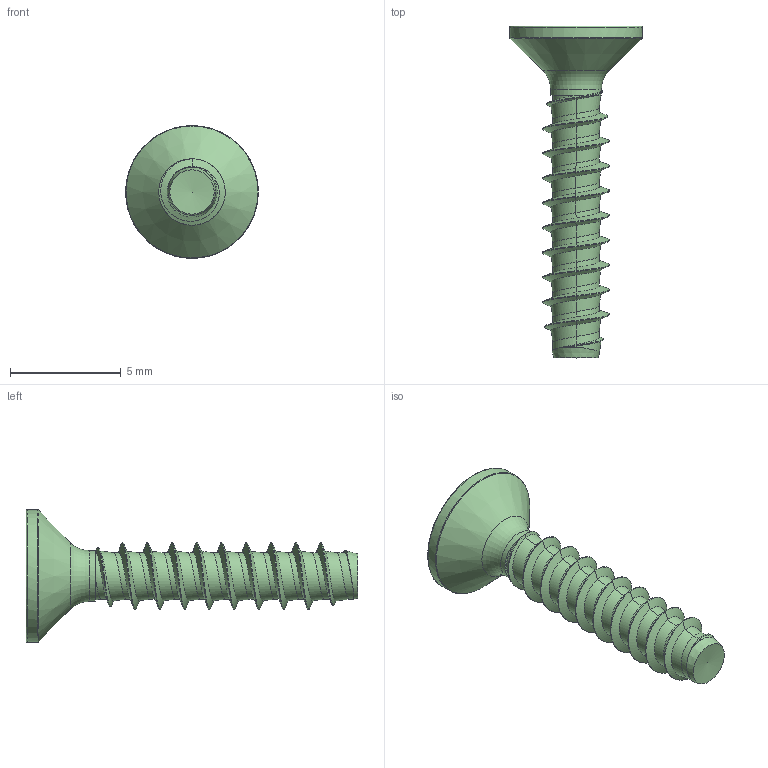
import math
import cadquery as cq


LENGTH = 15.0
HEAD_RADIUS = 3.0
RIM_DEPTH = 0.55
RIM_FILLET = 0.05
SHANK_RADIUS = 1.15
SHANK_TOP_DEPTH = 2.85
SHANK_END_DEPTH = 3.125
NECK_RADIUS = 1.2
HEAD_ANGLE = math.radians(45)
CORE_RADIUS = 1.05
TIP_RADIUS = 1.0
TIP_TAPER_SLOPE = 0.27
TIP_TAPER_LENGTH = 0.45
TIP_DISH_DEPTH = 0.08

PITCH = 1.12
THREAD_RADIUS = 1.5
CREST_WIDTH = 0.03
THREAD_START_DEPTH = 2.96
HEAD_FLANK_SLOPE = 0.33
TIP_FLANK_SLOPE = 0.42
RAMP_TOP_RADIUS = 1.14
RAMP_LENGTH = 0.7
LOWEST_CREST = 0.005

FIRST_TURN = -1.75
FULL_HEIGHT_FIRST_TURN = 1.25
FULL_HEIGHT_LAST_TURN = 9.25
RAMP_LAST_TURN = 10.25
LAST_TURN = 11.25
RISE_PER_TURN = 0.23

POINTS_PER_TURN = 16


def make_head():
    """Countersunk head, neck and plain shank as one revolved profile."""
    neck_center_radius = SHANK_RADIUS + NECK_RADIUS
    cone_end_radius = neck_center_radius - NECK_RADIUS * math.cos(HEAD_ANGLE)
    cone_end_depth = SHANK_TOP_DEPTH - NECK_RADIUS * math.sin(HEAD_ANGLE)
    arc_middle_radius = neck_center_radius - NECK_RADIUS * math.cos(HEAD_ANGLE / 2)
    arc_middle_depth = SHANK_TOP_DEPTH - NECK_RADIUS * math.sin(HEAD_ANGLE / 2)
    profile = (
        cq.Workplane("XY")
        .lineTo(HEAD_RADIUS, 0)
        .lineTo(HEAD_RADIUS, -RIM_DEPTH)
        .lineTo(cone_end_radius, -cone_end_depth)
        .threePointArc((arc_middle_radius, -arc_middle_depth), (SHANK_RADIUS, -SHANK_TOP_DEPTH))
        .lineTo(SHANK_RADIUS, -SHANK_END_DEPTH)
        .lineTo(0, -SHANK_END_DEPTH)
        .close()
    )
    head = profile.revolve(360, (0, 0, 0), (0, 1, 0))
    rim_edges = head.edges("%CIRCLE").edges(">>Y or >>Y[-2]")
    return rim_edges.fillet(RIM_FILLET)


def helix_point(turn, axial_offset, radius):
    """Point of a right-handed helix around the Y axis."""
    angle = 2 * math.pi * turn
    depth = THREAD_START_DEPTH + PITCH * turn + axial_offset
    return cq.Vector(radius * math.cos(angle), -depth, radius * math.sin(angle))


def thread_section(turn):
    """Corners of one pitch of the outline, as (axial offset, radius), from head to tip."""
    ramp_fade = max(0, turn - RAMP_LAST_TURN) / (LAST_TURN - RAMP_LAST_TURN)
    ramp_top = RAMP_TOP_RADIUS + ramp_fade * (CORE_RADIUS - RAMP_TOP_RADIUS)
    ramp_slope = (ramp_top - CORE_RADIUS) / RAMP_LENGTH
    faded_crest = RAMP_TOP_RADIUS + LOWEST_CREST
    fall_per_turn = (THREAD_RADIUS - faded_crest) / (RAMP_LAST_TURN - FULL_HEIGHT_LAST_TURN)
    rise = RISE_PER_TURN * max(0, FULL_HEIGHT_FIRST_TURN - turn)
    fall = fall_per_turn * max(0, turn - FULL_HEIGHT_LAST_TURN)
    crest = max(THREAD_RADIUS - rise - fall, ramp_top + LOWEST_CREST)
    half_crest = CREST_WIDTH / 2
    head_flank_run = HEAD_FLANK_SLOPE * (crest - CORE_RADIUS)
    tip_flank_run = TIP_FLANK_SLOPE * (crest - ramp_top) / (1 - TIP_FLANK_SLOPE * ramp_slope)
    return [
        (-half_crest - head_flank_run, CORE_RADIUS),
        (-half_crest, crest),
        (half_crest, crest),
        (half_crest + tip_flank_run, ramp_top - ramp_slope * tip_flank_run),
        (half_crest + RAMP_LENGTH, CORE_RADIUS),
    ]


def corner_point(turn, corner):
    """Point of one helical edge; the corner after the last is the first corner of the next turn."""
    section = thread_section(turn)
    if corner == len(section):
        return corner_point(turn + 1, 0)
    return helix_point(turn, *section[corner])


def helical_edge(first_turn, corner):
    """One full turn of a helical edge."""
    turns = [first_turn + step / POINTS_PER_TURN for step in range(POINTS_PER_TURN + 1)]
    return cq.Edge.makeSpline([corner_point(turn, corner) for turn in turns])


def end_faces(turn, corner_count):
    """Faces that close the threaded shank: a radial step and the helicoid that joins its sides."""
    corners = [corner_point(turn, corner) for corner in range(corner_count + 1)]
    axis_start = cq.Vector(0, corners[0].y, 0)
    axis_end = cq.Vector(0, corners[-1].y, 0)
    step_outline = cq.Wire.makePolygon([axis_start, *corners, axis_end], close=True)
    helicoid = cq.Face.makeRuledSurface(cq.Edge.makeLine(axis_start, axis_end), helical_edge(turn, 0))
    return [cq.Face.makeFromWires(step_outline), helicoid]


def make_threaded_shank():
    """Core and thread as one solid, bounded by strips between neighbouring helical edges."""
    corner_count = len(thread_section(FIRST_TURN))
    faces = end_faces(FIRST_TURN, corner_count) + end_faces(LAST_TURN, corner_count)
    for turn_number in range(round(LAST_TURN - FIRST_TURN)):
        turn = FIRST_TURN + turn_number
        edges = [helical_edge(turn, corner) for corner in range(corner_count + 1)]
        for head_side, tip_side in zip(edges, edges[1:]):
            faces.append(cq.Face.makeRuledSurface(head_side, tip_side))
    return cq.Solid.makeSolid(cq.Shell.makeShell(faces))


def make_tip_trim():
    """Everything beyond the dished end face and outside the tip taper."""
    taper_radius = TIP_RADIUS + TIP_TAPER_SLOPE * TIP_TAPER_LENGTH
    trim_radius = 2 * THREAD_RADIUS
    trim_end = -LENGTH - 2 * PITCH
    profile = (
        cq.Workplane("XY")
        .moveTo(0, TIP_DISH_DEPTH - LENGTH)
        .lineTo(TIP_RADIUS, -LENGTH)
        .lineTo(taper_radius, TIP_TAPER_LENGTH - LENGTH)
        .lineTo(trim_radius, TIP_TAPER_LENGTH - LENGTH)
        .lineTo(trim_radius, trim_end)
        .lineTo(0, trim_end)
        .close()
    )
    return profile.revolve(360, (0, 0, 0), (0, 1, 0))


threaded_shank = cq.Workplane(make_threaded_shank()).cut(make_tip_trim())
result = make_head().union(threaded_shank)